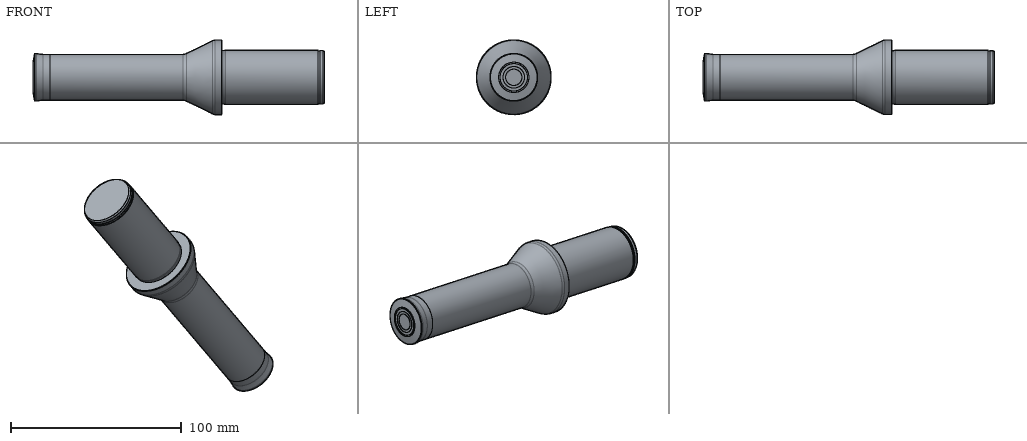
import cadquery as cq
import math

total_length = 171.0

shank_radius = 27.0 / 2
tip_boss_radius = 8.9
tip_face_depth = 0.9
tip_edge_radius = 13.7
rim_radius = 14.0
rim_start = 1.2
rim_end = 2.0
taper_end = 5.8
cap_end = 10.1

face_grooves = [(4.8, 6.3), (8.0, tip_boss_radius)]
face_groove_depth = 0.2

cone_blend_start = 87.9
cone_start = 90.0
cone_start_radius = 14.0
cone_end = 105.3
cone_end_radius = 21.5
collar_radius = 44.0 / 2
collar_start = 106.9
collar_end = 110.8
collar_chamfer = 0.3

journal_radius = 32.0 / 2
neck_radius = 31.5 / 2
neck_end = 112.0
journal_start = 113.0
journal_end = 167.0
end_land_start = 168.3
end_chamfer_start = 170.0
end_face_radius = 15.0
end_groove_radius = 15.5


def make_ring_groove(inner_radius, outer_radius):
    """Shallow ring cut into the tip face."""
    return (
        cq.Workplane("YZ")
        .circle(outer_radius)
        .circle(inner_radius)
        .extrude(face_groove_depth)
    )


def make_tip_cap():
    """Cap with a slightly coned end face, a raised rim and two face grooves."""
    profile = (
        cq.Workplane("XY")
        .moveTo(0, 0)
        .lineTo(0, tip_boss_radius)
        .lineTo(tip_face_depth, tip_edge_radius)
        .lineTo(rim_start, rim_radius)
        .lineTo(rim_end, rim_radius)
        .lineTo(taper_end, shank_radius)
        .lineTo(cap_end, shank_radius)
        .lineTo(cap_end, 0)
        .close()
    )
    cap = profile.revolve(360, (0, 0, 0), (1, 0, 0))
    for inner_radius, outer_radius in face_grooves:
        cap = cap.cut(make_ring_groove(inner_radius, outer_radius))
    return cap


def make_shaft():
    """Shank, conical collar and rear journal in one piece."""
    cone_angle = math.atan2(cone_end_radius - cone_start_radius, cone_end - cone_start)
    cone_direction = (math.cos(cone_angle), math.sin(cone_angle))
    profile = (
        cq.Workplane("XY")
        .moveTo(cap_end, 0)
        .lineTo(cap_end, shank_radius)
        .lineTo(cone_blend_start, shank_radius)
        .tangentArcPoint((cone_start, cone_start_radius), relative=False)
        .lineTo(cone_end, cone_end_radius)
        .spline([(collar_start, collar_radius)], tangents=[cone_direction, (1, 0)], includeCurrent=True)
        .lineTo(collar_end - collar_chamfer, collar_radius)
        .lineTo(collar_end, collar_radius - collar_chamfer)
        .lineTo(collar_end, neck_radius)
        .lineTo(neck_end, neck_radius)
        .lineTo(journal_start, journal_radius)
        .lineTo(journal_end, journal_radius)
        .lineTo(journal_end, end_groove_radius)
        .lineTo(end_land_start, end_groove_radius)
        .lineTo(end_land_start, neck_radius)
        .lineTo(end_chamfer_start, neck_radius)
        .lineTo(total_length, end_face_radius)
        .lineTo(total_length, 0)
        .close()
    )
    return profile.revolve(360, (0, 0, 0), (1, 0, 0))


tip_cap = make_tip_cap()
shaft = make_shaft()

result = cq.Compound.makeCompound([tip_cap.val(), shaft.val()])